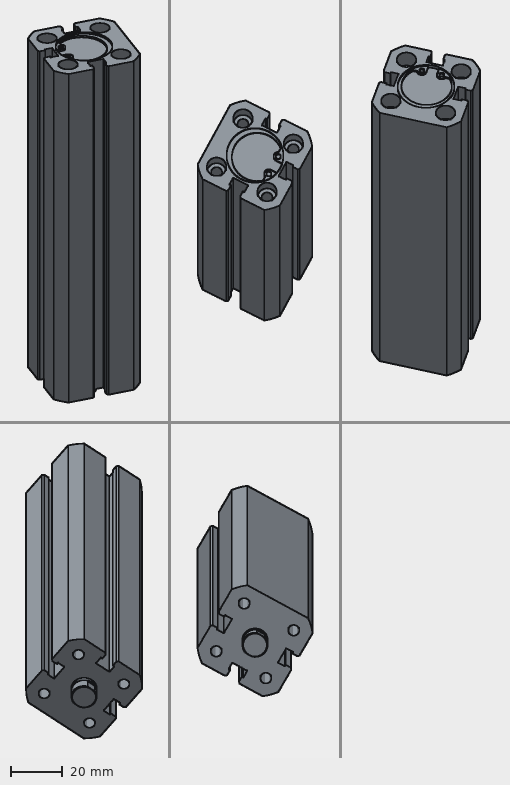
import cadquery as cq

TOTAL_LENGTH = 153.0
ROD_PROTRUSION = 6.3
WIDTH = 36.0
CORNER_RADIUS = 22.5
HOUSING_BOTTOM = ROD_PROTRUSION
HOUSING_TOP = TOTAL_LENGTH
HOUSING_LENGTH = HOUSING_TOP - HOUSING_BOTTOM

SLOT_OPENING = 5.2
SLOT_WIDTH = 6.6
SLOT_DEPTH = 6.0
SLOT_LIP = 2.9
SLOT_CHAMFER = 0.6
SLOT_ANGLES = (-90, 0, 90)

HOLE_SPACING = 22.0
HOLE_DIAMETER = 4.3
COUNTERBORE_DIAMETER = 7.5
COUNTERBORE_DEPTH = 7.6

RECESS_RADIUS = 11.0
RING_DEPTH = 0.8
RING_THICKNESS = 0.8
CAP_THICKNESS = 4.6
RING_TOP = HOUSING_TOP - RING_DEPTH
CAP_TOP = RING_TOP - RING_THICKNESS
CAP_BOTTOM = CAP_TOP - CAP_THICKNESS

RING_INNER_RADIUS = 9.8
RING_INNER_SHIFT = 0.9
RING_END_Y = -7.3
LUG_X = 4.0
LUG_Y = -8.1
LUG_RADIUS = 1.8
LUG_HOLE_RADIUS = 1.0

COLLAR_RADIUS = 4.97
COLLAR_LENGTH = 1.7
ROD_END_RADIUS = 4.9
ROD_END_CHAMFER = 0.3
FLAT_DISTANCE = 9.2
FLAT_LENGTH = 4.1
ROD_END_LENGTH = ROD_PROTRUSION - COLLAR_LENGTH


def cylinder(radius, bottom, top, x=0, y=0):
    return cq.Workplane("XY", origin=(x, y, bottom)).circle(radius).extrude(top - bottom)


def block(x_range, y_range, z_range):
    """A box that fills the given (low, high) ranges."""
    sizes = [high - low for low, high in (x_range, y_range, z_range)]
    corner = (x_range[0], y_range[0], z_range[0])
    return cq.Workplane("XY").box(*sizes, centered=False).translate(corner)


def make_slot_cutter(angle):
    """A T-slot with chamfered lips, drawn on the -Y side and turned about Z."""
    side_y = -WIDTH / 2
    right_half = [
        (SLOT_OPENING / 2 + SLOT_CHAMFER, side_y),
        (SLOT_OPENING / 2, side_y + SLOT_CHAMFER),
        (SLOT_OPENING / 2, side_y + SLOT_LIP),
        (SLOT_WIDTH / 2, side_y + SLOT_LIP),
        (SLOT_WIDTH / 2, side_y + SLOT_DEPTH),
    ]
    left_half = [(-x, y) for x, y in reversed(right_half)]
    slot = (
        cq.Workplane("XY", origin=(0, 0, HOUSING_BOTTOM))
        .polyline(right_half + left_half)
        .close()
        .extrude(HOUSING_LENGTH)
    )
    return slot.rotate((0, 0, 0), (0, 0, 1), angle)


def make_housing():
    sides = (-WIDTH / 2, WIDTH / 2)
    body = block(sides, sides, (HOUSING_BOTTOM, HOUSING_TOP))
    body = body.intersect(cylinder(CORNER_RADIUS, HOUSING_BOTTOM, HOUSING_TOP))
    for angle in SLOT_ANGLES:
        body = body.cut(make_slot_cutter(angle))
    body = (
        body.faces(">Z")
        .workplane(origin=(0, 0, HOUSING_TOP))
        .rect(HOLE_SPACING, HOLE_SPACING, forConstruction=True)
        .vertices()
        .cboreHole(HOLE_DIAMETER, COUNTERBORE_DIAMETER, COUNTERBORE_DEPTH)
    )
    recess = cylinder(RECESS_RADIUS, CAP_BOTTOM, HOUSING_TOP)
    rod_bore = cylinder(COLLAR_RADIUS, HOUSING_BOTTOM, CAP_BOTTOM)
    return body.cut(recess).cut(rod_bore)


def make_end_cap():
    return cylinder(RECESS_RADIUS, CAP_BOTTOM, CAP_TOP)


def make_lug():
    """The +X lug: a pierced eye with a foot that widens to the recess wall."""
    thickness = (CAP_TOP, RING_TOP)
    eye = cylinder(LUG_RADIUS, *thickness, LUG_X, LUG_Y)
    foot = block((LUG_X - LUG_RADIUS, RECESS_RADIUS), (-RECESS_RADIUS, LUG_Y), thickness)
    shoulder = block((LUG_X, RECESS_RADIUS), (LUG_Y, RING_END_Y), thickness)
    hole = cylinder(LUG_HOLE_RADIUS, *thickness, LUG_X, LUG_Y)
    return eye.union(foot).union(shoulder).cut(hole)


def make_retaining_ring():
    thickness = (CAP_TOP, RING_TOP)
    disc = cylinder(RECESS_RADIUS, *thickness)
    opening = cylinder(RING_INNER_RADIUS, *thickness, 0, -RING_INNER_SHIFT)
    below_ends = block(
        (-RECESS_RADIUS, RECESS_RADIUS), (-RECESS_RADIUS, RING_END_Y), thickness
    )
    lug = make_lug().intersect(disc)
    return disc.cut(opening).cut(below_ends).union(lug).union(lug.mirror("YZ"))


def make_rod():
    shaft = cylinder(COLLAR_RADIUS, ROD_END_LENGTH, CAP_BOTTOM)
    end = cylinder(ROD_END_RADIUS, 0, ROD_END_LENGTH).faces("<Z").chamfer(ROD_END_CHAMFER)
    rod = shaft.union(end)
    for low, high in (
        (FLAT_DISTANCE / 2, COLLAR_RADIUS),
        (-COLLAR_RADIUS, -FLAT_DISTANCE / 2),
    ):
        rod = rod.cut(block((-COLLAR_RADIUS, COLLAR_RADIUS), (low, high), (0, FLAT_LENGTH)))
    return rod


housing = make_housing()
end_cap = make_end_cap()
retaining_ring = make_retaining_ring()
rod = make_rod()

result = cq.Compound.makeCompound(
    [housing.val(), end_cap.val(), retaining_ring.val(), rod.val()]
)